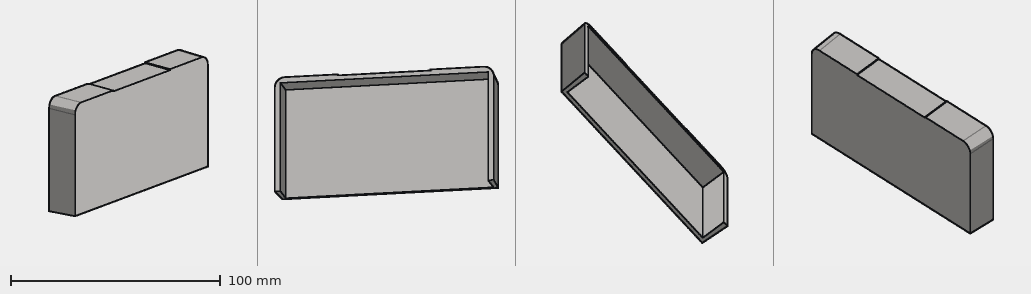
import cadquery as cq
import math

depth = 15.0
back_width = 105.0
back_height = 55.5
draft_angle = 3.0
corner_radius = 5.0

wall_thickness = 2.0
back_thickness = 2.0

relief_width = 45.0
relief_depth = 0.5

draft_growth = depth * math.tan(math.radians(draft_angle))
front_width = back_width + 2 * draft_growth
front_height = back_height + draft_growth


def make_body():
    """Block whose top and sides flare towards the open face, with two rounded upper corners."""
    body = (
        cq.Workplane("YZ")
        .center(0, front_height / 2)
        .rect(front_width, front_height)
        .workplane(offset=depth)
        .center(0, -draft_growth / 2)
        .rect(back_width, back_height)
        .loft(ruled=True)
    )
    upper_corners = body.faces(">Z").edges("not |Y")
    return upper_corners.fillet(corner_radius)


def make_cavity():
    """Rectangular pocket open at the front and the underside."""
    return cq.Workplane("XY").box(
        depth - back_thickness,
        back_width - 2 * wall_thickness,
        back_height - wall_thickness,
        centered=(False, True, False),
    )


def make_top_relief():
    """Sliver of constant vertical depth below the sloping top face."""
    return (
        cq.Workplane("XZ")
        .moveTo(0, front_height - relief_depth)
        .lineTo(depth, back_height - relief_depth)
        .lineTo(depth, front_height)
        .lineTo(0, front_height)
        .close()
        .extrude(relief_width / 2, both=True)
    )


result = make_body().cut(make_cavity()).cut(make_top_relief())